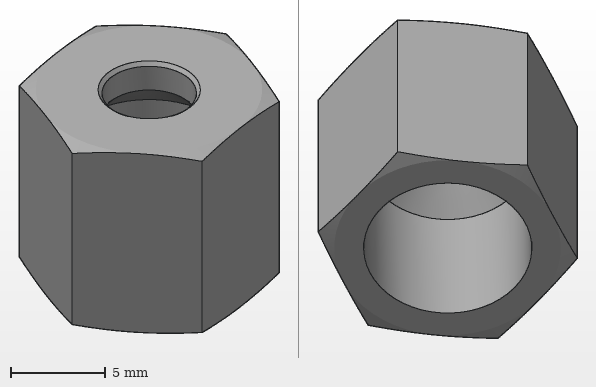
import cadquery as cq
import math

corner_diameter = 13.86
height = 11.5
across_flats = corner_diameter * math.cos(math.pi / 6)

corner_chamfer_angle = 15.0
corner_chamfer_width = (corner_diameter - across_flats) / 2
corner_chamfer_drop = corner_chamfer_width * math.tan(math.radians(corner_chamfer_angle))

hole_diameter = 5.0
hole_chamfer = 0.21
bore_diameter = 8.91
top_wall = 1.73
cone_height = (bore_diameter - hole_diameter) / 2


def hex_body():
    """Upright hexagonal prism with two corners on the Y axis."""
    return (
        cq.Workplane("XY")
        .polygon(6, corner_diameter)
        .extrude(height)
        .rotate((0, 0, 0), (0, 0, 1), 90)
    )


def corner_envelope():
    """Cylinder through the hexagon corners, beveled down to the flats at both ends."""
    return (
        cq.Workplane("XY")
        .circle(corner_diameter / 2)
        .extrude(height)
        .faces("<Z or >Z")
        .chamfer(corner_chamfer_drop, corner_chamfer_width)
    )


def stepped_bore():
    """Revolved cutter for the wide lower bore, the cone, the small hole and its top chamfer."""
    hole_radius = hole_diameter / 2
    bore_radius = bore_diameter / 2
    cone_top_z = height - top_wall
    profile = [
        (0, 0),
        (bore_radius, 0),
        (bore_radius, cone_top_z - cone_height),
        (hole_radius, cone_top_z),
        (hole_radius, height - hole_chamfer),
        (hole_radius + hole_chamfer, height),
        (0, height),
    ]
    return cq.Workplane("XZ").polyline(profile).close().revolve(360, (0, 0, 0), (0, 1, 0))


result = hex_body().intersect(corner_envelope()).cut(stepped_bore())